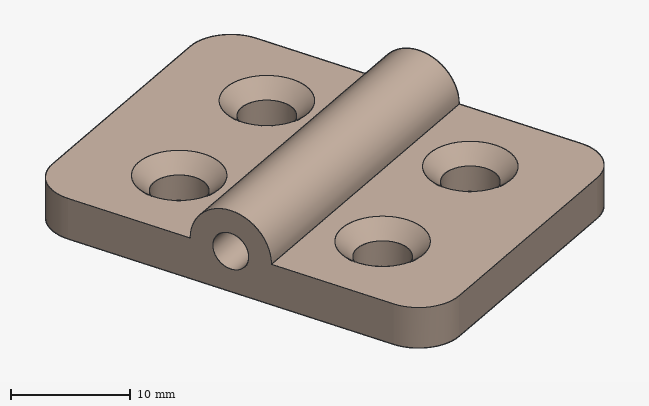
import cadquery as cq

plate_length = 40.0
plate_width = 30.0
plate_thickness = 4.0
corner_radius = 4.0

knuckle_diameter = 8.0
pin_hole_diameter = 3.5

screw_spacing_x = 20.0
screw_spacing_y = 14.0
screw_hole_diameter = 5.0
countersink_diameter = 8.0
countersink_angle = 90.0


def rod_along_y(diameter):
    """Cylinder on the hinge axis, as long as the plate is wide."""
    return (
        cq.Workplane("XZ")
        .center(0, plate_thickness)
        .circle(diameter / 2)
        .extrude(plate_width)
        .translate((0, plate_width / 2, 0))
    )


plate = (
    cq.Workplane("XY")
    .box(plate_length, plate_width, plate_thickness, centered=(True, True, False))
    .edges("|Z")
    .fillet(corner_radius)
    .faces(">Z")
    .workplane()
    .rarray(screw_spacing_x, screw_spacing_y, 2, 2)
    .cskHole(screw_hole_diameter, countersink_diameter, countersink_angle)
)

body = plate.union(rod_along_y(knuckle_diameter)).clean()

result = body.cut(rod_along_y(pin_hole_diameter))